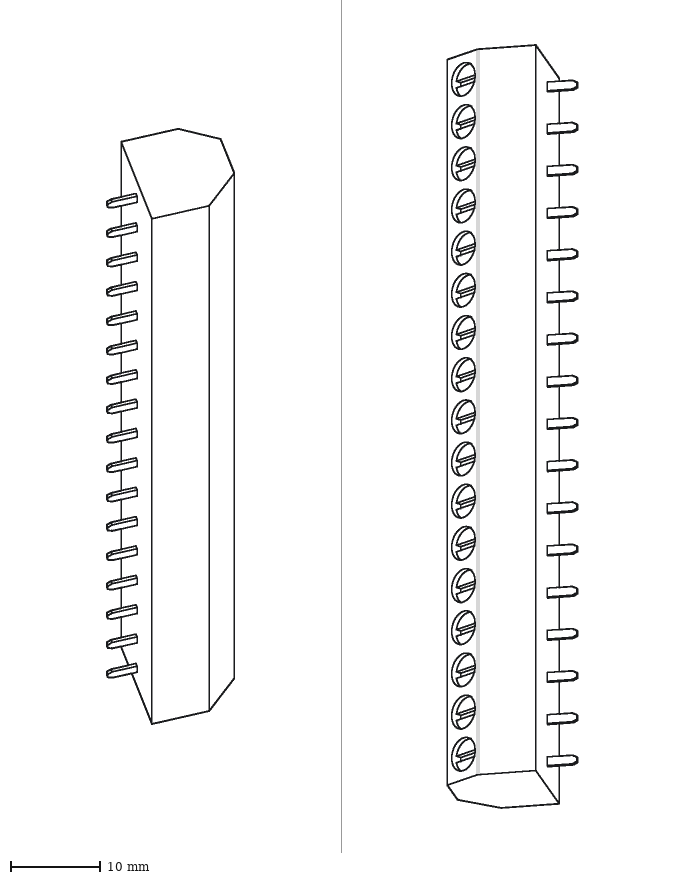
import cadquery as cq
import math

length = 86.0
width = 12.0
overall_depth = 14.3
pin_length = 3.4
body_depth = overall_depth - pin_length
slope_depth = 4.1
screw_slope_width = 2.8
slope_edge_radius = 0.5
plain_slope_width = 3.9

pole_count = 17
end_margin = 3.0
pitch = (length - 2 * end_margin) / (pole_count - 1)

pin_width = 1.0
pin_thickness = 0.4
tip_chamfer_length = 0.5
tip_chamfer_height = 0.3

screw_diameter = 3.9
screw_offset = 0.2
screw_recess = 0.7
slot_width = 0.8
slot_depth = 0.7

pole_heights = [-length / 2 + end_margin + i * pitch for i in range(pole_count)]


def make_housing():
    outline = [
        (-width / 2, 0),
        (width / 2, 0),
        (width / 2, body_depth - slope_depth),
        (width / 2 - plain_slope_width, body_depth),
        (-width / 2 + screw_slope_width, body_depth),
        (-width / 2, body_depth - slope_depth),
    ]
    block = cq.Workplane("XY").polyline(outline).close().extrude(length / 2, both=True)
    lower_edge = (-width / 2, body_depth - slope_depth, 0)
    return block.edges(cq.NearestToPointSelector(lower_edge)).fillet(slope_edge_radius)


def make_pin(height):
    """Flat pin pointing to -Y with both corners of its tip bevelled."""
    half_width = pin_width / 2
    tip_half_width = half_width - tip_chamfer_height
    shoulder = -pin_length + tip_chamfer_length
    outline = [
        (0, height - half_width),
        (shoulder, height - half_width),
        (-pin_length, height - tip_half_width),
        (-pin_length, height + tip_half_width),
        (shoulder, height + half_width),
        (0, height + half_width),
    ]
    return cq.Workplane("YZ").polyline(outline).close().extrude(pin_thickness / 2, both=True)


def make_screw_recess(height):
    """Round recess square to the sloped face, with a screwdriver slot in its floor."""
    slope_length = math.hypot(screw_slope_width, slope_depth)
    outward = (-slope_depth / slope_length, screw_slope_width / slope_length, 0)
    along_slope = 0.5 + screw_offset / slope_length
    centre = (
        -width / 2 + screw_slope_width * (1 - along_slope),
        body_depth - slope_depth * along_slope,
        height,
    )
    face = cq.Plane(origin=centre, xDir=(0, 0, 1), normal=outward)
    recess = cq.Workplane(face).circle(screw_diameter / 2).extrude(-screw_recess)
    slot_bottom = screw_recess + slot_depth
    slot = cq.Workplane(face).rect(slot_width, screw_diameter).extrude(-slot_bottom)
    bore = cq.Workplane(face).circle(screw_diameter / 2).extrude(-slot_bottom)
    return recess.union(slot.intersect(bore))


result = make_housing()
for pole_height in pole_heights:
    result = result.union(make_pin(pole_height))
    result = result.cut(make_screw_recess(pole_height))